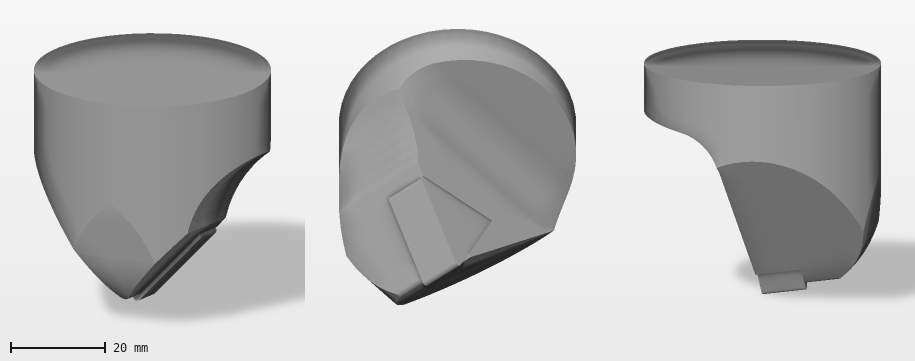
import math

import cadquery as cq

SHANK_DIAMETER = 50.0
SHANK_RADIUS = SHANK_DIAMETER / 2
TOTAL_HEIGHT = 49.66

SHELF_EDGE_DEPTH = 10.1
SHELF_ANGLE = 6.6
SHELF_FILLET = 10.0
TOOL_TILT = 8.5
RAKE_PROUD = 0.27
HEEL_START_DEPTH = 21.7
HEEL_BLEND_RADIUS = SHANK_RADIUS
HEEL_ANGLE = 9.5
HEEL_FLAT_END_DEPTH = 34.7
HEEL_ROUND_RADIUS = 17.5

INSERT_SIDE = 22.0
INSERT_NOSE_RADIUS = 0.8
INSERT_THICKNESS = 9.52
INSERT_CORNER_ANGLE = 60.0
RIGHT_FLANK_ANGLE = 41.6

FLANK_SETBACK = 0.75
LEFT_FLANK_ANGLE = 38.2
NOTCH_CORNER = (-2.92, 4.77)
NOTCH_SIZE = 5.0
WEDGE_NOSE_RADIUS = 1.0

RELIEF_RADIUS = 25.0
RELIEF_CENTER = (40.0, 13.7)

THROUGH = 4 * SHANK_RADIUS

TILT = math.radians(TOOL_TILT)
TOOL_PLANE = cq.Plane(
    origin=(0, 0, -TOTAL_HEIGHT),
    xDir=(1, 0, 0),
    normal=(0, -math.cos(TILT), math.sin(TILT)),
)


def direction(angle):
    """Unit vector in the tool plane, measured clockwise from straight up."""
    return cq.Vector(math.sin(math.radians(angle)), math.cos(math.radians(angle)))


def crossing(point_a, along_a, point_b, along_b):
    """Point where two lines, each given by a point and a direction, meet."""
    gap = point_b - point_a
    turn = along_a.x * along_b.y - along_a.y * along_b.x
    return point_a + along_a * ((gap.x * along_b.y - gap.y * along_b.x) / turn)


def xy(vector):
    return (vector.x, vector.y)


def tool_prism(corners, start, end):
    """Prism over a tool-plane polygon between two depths behind the insert face."""
    outline = cq.Workplane(TOOL_PLANE).workplane(offset=start)
    return outline.polyline([xy(corner) for corner in corners]).close().extrude(end - start)


def cutting_edge_apex():
    """Sharp corner of the insert, before its nose is rounded."""
    nose_center = cq.Vector(0, INSERT_NOSE_RADIUS)
    bisector = direction(RIGHT_FLANK_ANGLE - INSERT_CORNER_ANGLE / 2)
    reach = INSERT_NOSE_RADIUS / math.sin(math.radians(INSERT_CORNER_ANGLE / 2))
    return nose_center - bisector * reach


def insert_corners():
    apex = cutting_edge_apex()
    right = apex + direction(RIGHT_FLANK_ANGLE) * INSERT_SIDE
    left = apex + direction(RIGHT_FLANK_ANGLE - INSERT_CORNER_ANGLE) * INSERT_SIDE
    return [apex, right, left]


def make_insert():
    insert = tool_prism(insert_corners(), 0, INSERT_THICKNESS)
    side_edges = cq.selectors.ParallelDirSelector(TOOL_PLANE.zDir)
    return insert.edges(side_edges).fillet(INSERT_NOSE_RADIUS)


def make_shank_profile():
    """Shank, shelf, rake face and heel as one side outline, extruded along X."""
    shelf = cq.Vector(SHANK_RADIUS, -SHELF_EDGE_DEPTH)
    shelf_run = direction(-90 - SHELF_ANGLE)
    rake_foot = cq.Vector(RAKE_PROUD / math.cos(TILT), -TOTAL_HEIGHT)
    rake_run = direction(TOOL_TILT)
    inner_corner = crossing(shelf, shelf_run, rake_foot, rake_run)
    corner_half_turn = math.radians(90 - SHELF_ANGLE - TOOL_TILT) / 2
    fillet_trim = SHELF_FILLET * math.tan(corner_half_turn)
    fillet_top = inner_corner - shelf_run * fillet_trim
    fillet_bottom = inner_corner - rake_run * fillet_trim
    to_fillet_middle = (fillet_top + fillet_bottom) * 0.5 - inner_corner
    fillet_gap = SHELF_FILLET * (1 / math.cos(corner_half_turn) - 1)
    fillet_middle = inner_corner + to_fillet_middle.normalized() * fillet_gap

    def heel_normal(angle):
        return cq.Vector(-math.cos(math.radians(angle)), -math.sin(math.radians(angle)))

    blend_center = cq.Vector(HEEL_BLEND_RADIUS - SHANK_RADIUS, -HEEL_START_DEPTH)
    blend_start = blend_center + heel_normal(0) * HEEL_BLEND_RADIUS
    blend_middle = blend_center + heel_normal(HEEL_ANGLE / 2) * HEEL_BLEND_RADIUS
    blend_end = blend_center + heel_normal(HEEL_ANGLE) * HEEL_BLEND_RADIUS
    flat_drop = HEEL_FLAT_END_DEPTH + blend_end.y
    flat_end = blend_end + cq.Vector(flat_drop * math.tan(math.radians(HEEL_ANGLE)), -flat_drop)
    round_center = flat_end - heel_normal(HEEL_ANGLE) * HEEL_ROUND_RADIUS
    round_middle = round_center + heel_normal((HEEL_ANGLE + 90) / 2) * HEEL_ROUND_RADIUS
    round_bottom = round_center + heel_normal(90) * HEEL_ROUND_RADIUS

    outline = (
        cq.Workplane("YZ")
        .moveTo(-SHANK_RADIUS, 0)
        .lineTo(SHANK_RADIUS, 0)
        .lineTo(*xy(shelf))
        .lineTo(*xy(fillet_top))
        .threePointArc(xy(fillet_middle), xy(fillet_bottom))
        .lineTo(*xy(rake_foot))
        .lineTo(*xy(round_bottom))
        .threePointArc(xy(round_middle), xy(flat_end))
        .lineTo(*xy(blend_end))
        .threePointArc(xy(blend_middle), xy(blend_start))
        .close()
    )
    return outline.extrude(SHANK_RADIUS, both=True)


def make_wedge():
    """Holder flanks: a V with a rounded nose, running square to the rake face."""
    right_run = direction(RIGHT_FLANK_ANGLE)
    left_run = direction(-LEFT_FLANK_ANGLE)
    setback = direction(RIGHT_FLANK_ANGLE - 90) * FLANK_SETBACK
    apex = crossing(cutting_edge_apex() + setback, right_run, cq.Vector(*NOTCH_CORNER), left_run)
    corners = [apex, apex + right_run * THROUGH, apex + left_run * THROUGH]
    wedge = tool_prism(corners, -THROUGH, THROUGH)
    nose_edge = cq.selectors.NearestToPointSelector(TOOL_PLANE.toWorldCoords(xy(apex)).toTuple())
    side_edges = cq.selectors.ParallelDirSelector(TOOL_PLANE.zDir)
    return wedge.edges(side_edges).edges(nose_edge).fillet(WEDGE_NOSE_RADIUS)


def make_relief():
    outline = cq.Workplane(TOOL_PLANE).center(*RELIEF_CENTER).circle(RELIEF_RADIUS)
    return outline.extrude(THROUGH, both=True)


def make_notch():
    """Clearance at the pocket's lower left, its wall parallel to the cutting edge."""
    corner = cq.Vector(*NOTCH_CORNER)
    along = direction(RIGHT_FLANK_ANGLE) * NOTCH_SIZE
    down = direction(180) * NOTCH_SIZE
    corners = [corner, corner + along, corner + along + down, corner + down]
    return tool_prism(corners, -RAKE_PROUD, INSERT_THICKNESS)


def make_holder():
    shank = cq.Workplane("XY").circle(SHANK_RADIUS).extrude(-TOTAL_HEIGHT)
    body = shank.intersect(make_shank_profile()).intersect(make_wedge())
    body = body.cut(make_relief()).cut(make_notch())
    insert_recess = tool_prism(insert_corners(), -RAKE_PROUD, 0)
    return body.cut(insert_recess)


result = make_holder().union(make_insert())